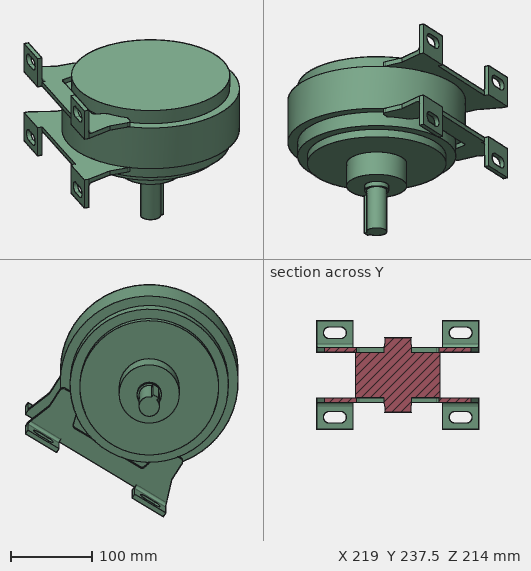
import cadquery as cq

drum_diameter = 219.0
drum_height = 56.0
cap_diameter = 195.0
cap_height = 18.0
flange_diameter = 171.0
flange_height = 10.0
hub_diameter = 74.0
hub_height = 30.0
collar_diameter = 30.0
collar_height = 6.0
shaft_diameter = 25.0
shaft_length = 55.0

key_width = 8.0
key_length = 50.4
key_top = 15.5

plate_thickness = 6.0
foot_y = -128.0
foot_width = 200.0
plate_width = 177.2
plate_depth = 67.0
knee_height = 38.2
plate_corner_radius = 5.0
bend_radius = 4.0
tab_width = 45.1
tab_height = 39.0
slot_length = 28.0
slot_width = 14.0
slot_inset = 15.0

relief_y = -97.4
relief_width = 101.2
relief_mouth_y = -80.5
relief_mouth_width = 110.7
relief_corner_radius = 4.0

drum_top = drum_height / 2
tab_inner_y = foot_y + plate_thickness
tab_center_x = (foot_width - tab_width) / 2


def disc(diameter, bottom, height):
    return cq.Workplane("XY").workplane(offset=bottom).circle(diameter / 2).extrude(height)


def make_body():
    cap = disc(cap_diameter, drum_top, cap_height)
    body = disc(drum_diameter, -drum_top, drum_height).union(cap)
    bottom = -drum_top
    steps = [
        (cap_diameter, cap_height),
        (flange_diameter, flange_height),
        (hub_diameter, hub_height),
        (collar_diameter, collar_height),
        (shaft_diameter, shaft_length),
    ]
    for diameter, height in steps:
        bottom -= height
        body = body.union(disc(diameter, bottom, height))
    key = (
        cq.Workplane("XY")
        .workplane(offset=bottom)
        .center(0, key_top / 2)
        .rect(key_width, key_top)
        .extrude(key_length)
    )
    return body.union(key)


def make_plate_outline(height):
    knee_y = foot_y + knee_height
    back_y = foot_y + plate_depth
    return (
        cq.Workplane("XY")
        .workplane(offset=drum_top)
        .moveTo(-foot_width / 2, tab_inner_y)
        .lineTo(foot_width / 2, tab_inner_y)
        .lineTo(plate_width / 2, knee_y)
        .lineTo(plate_width / 2, back_y)
        .lineTo(-plate_width / 2, back_y)
        .lineTo(-plate_width / 2, knee_y)
        .close()
        .extrude(height)
    )


def make_plate():
    plate = make_plate_outline(plate_thickness)
    plate = plate.edges("|Z").edges(">Y").fillet(plate_corner_radius)
    relief = (
        cq.Workplane("XY")
        .workplane(offset=drum_top)
        .moveTo(-relief_width / 2, relief_y)
        .lineTo(relief_width / 2, relief_y)
        .lineTo(relief_mouth_width / 2, relief_mouth_y)
        .lineTo(-relief_mouth_width / 2, relief_mouth_y)
        .close()
        .extrude(plate_thickness)
    )
    relief = relief.edges("|Z").edges("<Y").fillet(relief_corner_radius)
    return plate.cut(relief)


def make_tab(center_x):
    tab = (
        cq.Workplane("XY", origin=(center_x, foot_y + plate_thickness / 2, drum_top))
        .rect(tab_width, plate_thickness)
        .extrude(tab_height)
    )
    slot = (
        cq.Workplane("XZ", origin=(center_x, foot_y, drum_top + tab_height - slot_inset))
        .slot2D(slot_length, slot_width)
        .extrude(-plate_thickness)
    )
    return tab.cut(slot)


def make_bend(center_x):
    plate_top = drum_top + plate_thickness
    bend = (
        cq.Workplane("YZ")
        .workplane(offset=center_x - tab_width / 2)
        .moveTo(tab_inner_y, drum_top)
        .lineTo(tab_inner_y + bend_radius, drum_top)
        .lineTo(tab_inner_y + bend_radius, plate_top)
        .radiusArc((tab_inner_y, plate_top + bend_radius), bend_radius)
        .close()
        .extrude(tab_width)
    )
    return bend.intersect(make_plate_outline(plate_thickness + bend_radius))


def make_bracket():
    bracket = make_plate()
    for center_x in (-tab_center_x, tab_center_x):
        bracket = bracket.union(make_tab(center_x)).union(make_bend(center_x))
    return bracket


upper_bracket = make_bracket()
lower_bracket = upper_bracket.mirror("XY")
result = make_body().union(upper_bracket).union(lower_bracket)